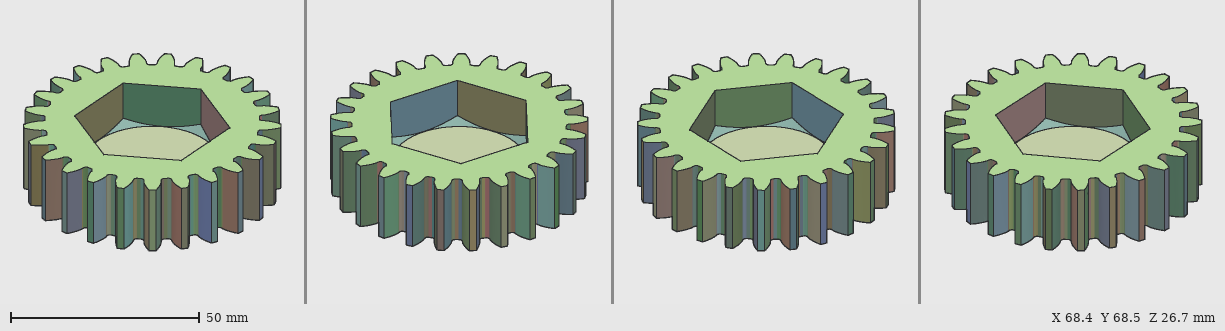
import cadquery as cq
import math

overall_width = 68.5
overall_height = 26.7
gear_height = 19.05

tooth_count = 25
pressure_angle = math.radians(20)
addendum_factor = 1.0
dedendum_factor = 1.25
root_fillet_radius = 0.95
flank_point_count = 7

socket_sides = 6
socket_flats = 36.1
socket_depth = 12.7
socket_floor_diameter = 36.0
socket_chamfer_angle = math.radians(30)
pin_diameter = 10.0


def involute(angle):
    return math.tan(angle) - angle


tooth_pitch = 2 * math.pi / tooth_count
tip_to_pitch = 1 + 2 * addendum_factor / tooth_count
base_half_angle = tooth_pitch / 4 + involute(pressure_angle)
tip_pressure_angle = math.acos(math.cos(pressure_angle) / tip_to_pitch)
tip_half_angle = base_half_angle - involute(tip_pressure_angle)

tip_radius = overall_width / 2 / math.cos(tooth_pitch / 4 - tip_half_angle)
pitch_radius = tip_radius / tip_to_pitch
module = 2 * pitch_radius / tooth_count
base_radius = pitch_radius * math.cos(pressure_angle)
root_radius = pitch_radius - dedendum_factor * module


def polar(radius, angle):
    return (radius * math.cos(angle), radius * math.sin(angle))


def flank_points(tooth_angle, side):
    """Involute flank from base circle to tip; side is -1 or +1 for the flank's side of the tooth."""
    points = []
    for i in range(flank_point_count):
        radius = base_radius + (tip_radius - base_radius) * i / (flank_point_count - 1)
        half_angle = base_half_angle - involute(math.acos(base_radius / radius))
        points.append(polar(radius, tooth_angle + side * half_angle))
    return points


def make_gear_body():
    first_tooth = math.pi
    outline = cq.Workplane("XY").moveTo(*polar(root_radius, first_tooth - base_half_angle))
    for i in range(tooth_count):
        tooth = first_tooth + i * tooth_pitch
        rising = flank_points(tooth, -1)
        falling = flank_points(tooth, 1)[::-1]
        next_tooth = tooth + tooth_pitch
        outline = (
            outline.lineTo(*rising[0])
            .spline(rising[1:], includeCurrent=True)
            .threePointArc(polar(tip_radius, tooth), falling[0])
            .spline(falling[1:], includeCurrent=True)
            .lineTo(*polar(root_radius, tooth + base_half_angle))
            .threePointArc(
                polar(root_radius, tooth + tooth_pitch / 2),
                polar(root_radius, next_tooth - base_half_angle),
            )
        )
    return outline.close().extrude(gear_height)


def fillet_tooth_roots(body):
    inner_reach = (root_radius + base_radius) / 2
    upright_edges = body.edges("|Z").vals()
    edges = [e for e in upright_edges if math.hypot(e.Center().x, e.Center().y) < inner_reach]
    return body.newObject(edges).fillet(root_fillet_radius)


def make_socket():
    """Hexagonal prism whose bottom corners are cut off by a cone, like the chamfered top of a bolt head."""
    corner_diameter = socket_flats / math.cos(math.pi / socket_sides)
    floor_z = gear_height - socket_depth
    hexagon = (
        cq.Workplane("XY")
        .workplane(offset=floor_z)
        .polygon(socket_sides, corner_diameter)
        .extrude(socket_depth)
    )
    floor_radius = socket_floor_diameter / 2
    envelope_radius = corner_diameter
    cone_rise = (envelope_radius - floor_radius) * math.tan(socket_chamfer_angle)
    envelope = (
        cq.Workplane("XZ")
        .moveTo(0, floor_z)
        .lineTo(floor_radius, floor_z)
        .lineTo(envelope_radius, floor_z + cone_rise)
        .lineTo(envelope_radius, gear_height + cone_rise)
        .lineTo(0, gear_height + cone_rise)
        .close()
        .revolve(360, (0, 0, 0), (0, 1, 0))
    )
    return hexagon.intersect(envelope)


def make_pin():
    return cq.Workplane("XY").circle(pin_diameter / 2).extrude(gear_height - overall_height)


gear = fillet_tooth_roots(make_gear_body())
result = gear.cut(make_socket()).union(make_pin())